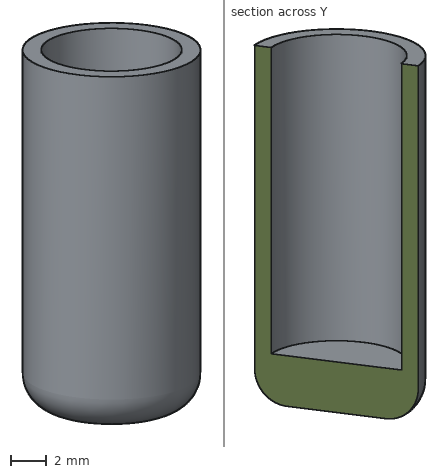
import cadquery as cq

height = 21.0
outer_diameter = 10.0
bore_diameter = 7.9
bottom_radius = 2.0
floor_thickness = 3.0


def rounded_body():
    """Solid cylinder standing on Z = 0 with a rounded bottom edge."""
    body = cq.Workplane("XY").circle(outer_diameter / 2).extrude(height)
    return body.faces("<Z").edges().fillet(bottom_radius)


def bore():
    """Flat-bottomed blind bore, open at the top."""
    return (
        cq.Workplane("XY")
        .workplane(offset=floor_thickness)
        .circle(bore_diameter / 2)
        .extrude(height - floor_thickness)
    )


result = rounded_body().cut(bore())